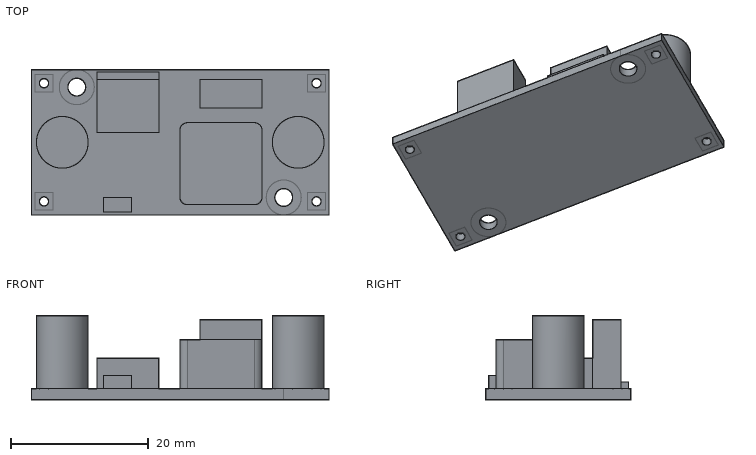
import cadquery as cq

BOARD_LENGTH = 43.18
BOARD_WIDTH = 21.08
BOARD_THICKNESS = 1.65
TOTAL_HEIGHT = 12.2

MOUNT_HOLE_DIAMETER = 2.54
MOUNT_LAND_DIAMETER = 2 * MOUNT_HOLE_DIAMETER
MOUNT_X = 15.0
MOUNT_Y = BOARD_WIDTH / 2 - MOUNT_LAND_DIAMETER / 2

TERMINAL_HOLE_DIAMETER = 1.3
TERMINAL_PAD_SIDE = 2.54
TERMINAL_X = 19.75
TERMINAL_Y = 8.57

CAPACITOR_DIAMETER = 7.5
CAPACITOR_HEIGHT = TOTAL_HEIGHT - BOARD_THICKNESS
CAPACITOR_X = 17.1

INDUCTOR_SIDE = 11.9
INDUCTOR_HEIGHT = 7.1
INDUCTOR_CORNER_RADIUS = 1.1
INDUCTOR_X = 5.9
INDUCTOR_Y = -3.1

REGULATOR_LENGTH = 9.0
REGULATOR_WIDTH = 7.7
REGULATOR_HEIGHT = 4.4
REGULATOR_X = -7.6
REGULATOR_BACK_Y = 9.1
TAB_DEPTH = 1.1
TAB_HEIGHT = 0.95

TRIMMER_LENGTH = 9.0
TRIMMER_WIDTH = 4.1
TRIMMER_HEIGHT = 10.0
TRIMMER_X = INDUCTOR_X + INDUCTOR_SIDE / 2 - TRIMMER_LENGTH / 2
TRIMMER_Y = REGULATOR_BACK_Y - TRIMMER_WIDTH / 2

DIODE_LENGTH = 4.1
DIODE_WIDTH = 2.1
DIODE_HEIGHT = 1.9
DIODE_X = -9.1
DIODE_Y = -9.05

MOUNT_POINTS = [(-MOUNT_X, MOUNT_Y), (MOUNT_X, -MOUNT_Y)]
TERMINAL_POINTS = [(sx * TERMINAL_X, sy * TERMINAL_Y) for sx in (-1, 1) for sy in (-1, 1)]


def block(length, width, height, x, y, base_z=BOARD_THICKNESS):
    """Rectangular block centred on (x, y) and standing on base_z."""
    return (
        cq.Workplane("XY", origin=(x, y, base_z))
        .box(length, width, height, centered=(True, True, False))
    )


def drilled_board():
    """Board with its holes; the flush lands and pads stay as separate faces."""
    board = block(BOARD_LENGTH, BOARD_WIDTH, BOARD_THICKNESS, 0, 0, base_z=0)
    plane = cq.Workplane("XY")
    lands = plane.pushPoints(MOUNT_POINTS).circle(MOUNT_LAND_DIAMETER / 2).extrude(BOARD_THICKNESS)
    pads = (
        plane.pushPoints(TERMINAL_POINTS)
        .rect(TERMINAL_PAD_SIDE, TERMINAL_PAD_SIDE)
        .extrude(BOARD_THICKNESS)
    )
    mount_holes = (
        plane.pushPoints(MOUNT_POINTS).circle(MOUNT_HOLE_DIAMETER / 2).extrude(BOARD_THICKNESS)
    )
    terminal_holes = (
        plane.pushPoints(TERMINAL_POINTS).circle(TERMINAL_HOLE_DIAMETER / 2).extrude(BOARD_THICKNESS)
    )
    board = board.union(lands, clean=False).union(pads, clean=False)
    return board.cut(mount_holes, clean=False).cut(terminal_holes, clean=False)


def capacitors():
    return (
        cq.Workplane("XY", origin=(0, 0, BOARD_THICKNESS))
        .pushPoints([(-CAPACITOR_X, 0), (CAPACITOR_X, 0)])
        .circle(CAPACITOR_DIAMETER / 2)
        .extrude(CAPACITOR_HEIGHT)
    )


def inductor():
    body = block(INDUCTOR_SIDE, INDUCTOR_SIDE, INDUCTOR_HEIGHT, INDUCTOR_X, INDUCTOR_Y)
    return body.edges("|Z").fillet(INDUCTOR_CORNER_RADIUS)


def regulator():
    body_y = REGULATOR_BACK_Y - REGULATOR_WIDTH / 2
    tab_y = REGULATOR_BACK_Y + TAB_DEPTH / 2
    body = block(REGULATOR_LENGTH, REGULATOR_WIDTH, REGULATOR_HEIGHT, REGULATOR_X, body_y)
    tab = block(REGULATOR_LENGTH, TAB_DEPTH, TAB_HEIGHT, REGULATOR_X, tab_y)
    return body.union(tab, clean=False)


def trimmer():
    return block(TRIMMER_LENGTH, TRIMMER_WIDTH, TRIMMER_HEIGHT, TRIMMER_X, TRIMMER_Y)


def diode():
    return block(DIODE_LENGTH, DIODE_WIDTH, DIODE_HEIGHT, DIODE_X, DIODE_Y)


result = drilled_board()
for component in (capacitors(), inductor(), regulator(), trimmer(), diode()):
    result = result.union(component, clean=False)